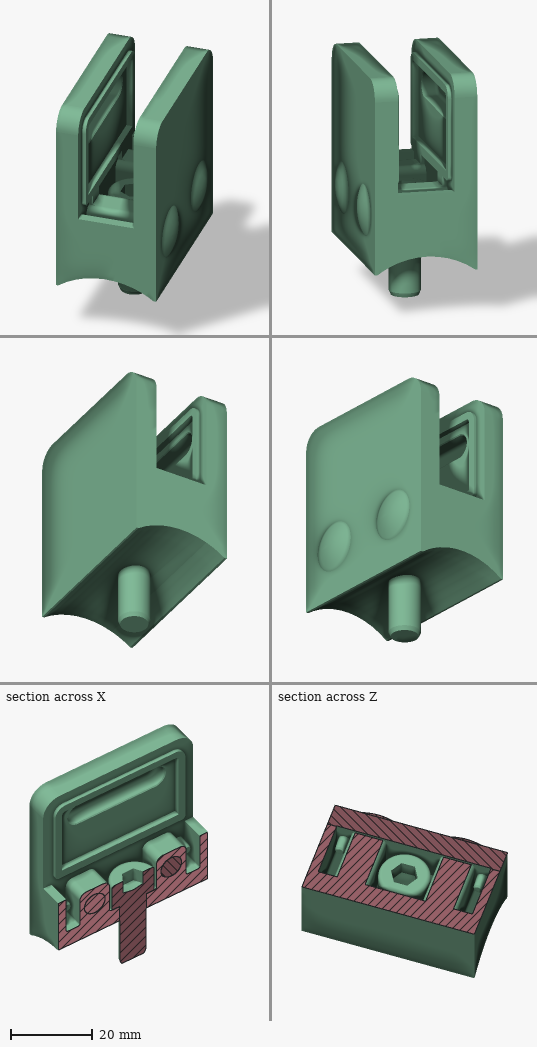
import cadquery as cq
import math

width = 26.0
length = 45.0
top_z = 60.0
bottom_z = 11.0
jaw_thickness = 5.75
clamp_jaw_thickness = 5.9
jaw_corner_radius = 5.0
mid_y = length / 2
clamp_x = width - clamp_jaw_thickness
mid_x = (jaw_thickness + clamp_x) / 2

rail_radius = 21.2
saddle_apex_z = 15.0

slot_z = 31.0
end_wall = 2.5
floor_z = 20.0
foot_radius = 0.5

screw_spacing = 23.0
screw_z = 25.0
boss_width = 9.0
boss_top_z = 30.4
boss_top_radius = 2.0
boss_clearance = 0.4
screw_ys = [mid_y - screw_spacing / 2, mid_y + screw_spacing / 2]

lug_depth = 1.0
lug_root = 1.0
lug_width = boss_width - 2 * boss_top_radius

pad_height = 1.0
pad_recess = 0.6
pad_margin = 3.0
pad_bottom_z = 33.0
pad_top_radius = 3.0
pad_bottom_radius = 1.0
frame_width = 2.0
frame_bottom_width = 2.3
pad_top_z = top_z - pad_margin

pocket_diameter = 6.0
pocket_length = screw_spacing + pocket_diameter
pocket_mouth_chamfer = 0.25
pocket_depth = 4.0
pocket_floor_radius = 0.8
pocket_z = 50.0

locator_spacing = 36.0
locator_length = 3.85
locator_root_diameter = 3.0
locator_shoulder_diameter = 2.6
locator_tip_diameter = 2.0
locator_tip_length = 0.5

bolt_diameter = 8.0
bolt_head_diameter = 13.0
bolt_head_height = 8.0
bolt_head_radius = 1.0
bolt_chamfer_height = 1.1
bolt_chamfer_width = 0.5
socket_across_flats = 6.0
socket_depth = 4.0
socket_cone_height = 0.75

screw_diameter = 6.0
screw_clearance_diameter = 6.5
screw_tip_x = 10.0
dome_diameter = 13.0
dome_height = 1.5


def block(x0, x1, y0, y1, z0, z1):
    """Axis-aligned box between two opposite corners."""
    return cq.Workplane("XY").box(x1 - x0, y1 - y0, z1 - z0, centered=False).translate((x0, y0, z0))


def rod_x(diameter, x0, x1, y, z):
    """Cylinder along X."""
    return cq.Workplane("YZ", origin=(x0, y, z)).circle(diameter / 2).extrude(x1 - x0)


def mirrored(shape):
    """Copy of a shape on the opposite jaw."""
    return shape.mirror("YZ", basePointVector=(mid_x, 0, 0))


def jaw(x0, x1):
    """Flat jaw with rounded upper corners."""
    plate = block(x0, x1, 0, length, bottom_z, top_z)
    return plate.edges("|X and >Z").fillet(jaw_corner_radius)


def rail():
    """Round rail that shapes the underside."""
    axis_z = saddle_apex_z - rail_radius
    return cq.Workplane("XZ", origin=(mid_x, 0, axis_z)).circle(rail_radius).extrude(-length)


def pad_outline():
    """Filled outline of the pad on the clamp jaw, from its raised face down to the recess floor."""
    x0 = clamp_x - pad_height
    x1 = clamp_x + pad_recess
    outline = block(x0, x1, pad_margin, length - pad_margin, pad_bottom_z, pad_top_z)
    outline = outline.edges("|X and >Z").fillet(pad_top_radius)
    return outline.edges("|X and <Z").fillet(pad_bottom_radius)


def slot_pocket():
    """Blind slot in the clamp jaw's recess, chamfered at the mouth and rounded at the floor."""
    start = cq.Workplane("YZ", origin=(clamp_x + pad_recess, mid_y, pocket_z))
    pocket = start.slot2D(pocket_length, pocket_diameter).extrude(pocket_depth)
    pocket = pocket.faces(">X").edges().fillet(pocket_floor_radius)
    widening = 2 * pocket_mouth_chamfer
    mouth = start.slot2D(pocket_length + widening, pocket_diameter + widening)
    mouth = mouth.extrude(pocket_mouth_chamfer, taper=45)
    return pocket.union(mouth)


def well():
    """Cavity between the end walls, with a rounded foot along each wall."""
    cavity = block(jaw_thickness, clamp_x, end_wall, length - end_wall, floor_z, slot_z)
    return cavity.edges("|X and <Z").fillet(foot_radius)


def boss(y):
    """Screw boss with rounded upper edges and a concave foot along both sides."""
    half = boss_width / 2
    x1 = clamp_x - boss_clearance
    base_z = floor_z - foot_radius
    bar = block(jaw_thickness, x1, y - half, y + half, base_z, boss_top_z)
    bar = bar.edges("|X and >Z").fillet(boss_top_radius)
    for side in (-1, 1):
        inner = y + side * half
        outer = inner + side * foot_radius
        low, high = sorted((inner, outer))
        foot = block(jaw_thickness, x1, low, high, base_z, floor_z + foot_radius)
        foot = foot.cut(rod_x(2 * foot_radius, jaw_thickness, x1, outer, floor_z + foot_radius))
        bar = bar.union(foot)
    return bar


def lug(y):
    """Low lug between a boss top and the lower edge of the pad, sloping onto the boss."""
    face_x = jaw_thickness + lug_depth
    base_z = boss_top_z - boss_top_radius
    profile = [
        (jaw_thickness, base_z),
        (face_x + lug_root, base_z),
        (face_x + lug_root, boss_top_z),
        (face_x, boss_top_z + lug_root / 5),
        (face_x, pad_bottom_z),
        (jaw_thickness, pad_bottom_z),
    ]
    start = cq.Workplane("XZ", origin=(0, y + lug_width / 2, 0))
    return start.polyline(profile).close().extrude(lug_width)


def make_body():
    """Fixed jaw and base, with the well, bosses, saddle and bolt hole."""
    body = jaw(0, jaw_thickness).union(block(jaw_thickness, clamp_x, 0, length, bottom_z, slot_z))
    body = body.cut(well())
    for y in screw_ys:
        body = body.union(boss(y)).union(lug(y))
        body = body.cut(rod_x(screw_diameter, screw_tip_x, clamp_x, y, screw_z))
    body = body.cut(cq.Workplane("XY").center(mid_x, mid_y).circle(bolt_diameter / 2).extrude(floor_z))
    return body.cut(rail()).cut(mirrored(pad_outline())).cut(mirrored(slot_pocket()))


def locator(y):
    """Tapered locating pin pointing from the clamp jaw into the well."""
    shoulder = locator_length - locator_tip_length
    profile = [
        (0, 0),
        (locator_root_diameter / 2, 0),
        (locator_shoulder_diameter / 2, -shoulder),
        (locator_tip_diameter / 2, -locator_length),
        (0, -locator_length),
    ]
    pin = cq.Workplane("XY").polyline(profile).close().revolve(360, (0, 0, 0), (0, 1, 0))
    return pin.rotate((0, 0, 0), (0, 0, 1), -90).translate((clamp_x, y, screw_z))


def make_clamp_jaw():
    """Removable jaw with screw holes and locating pins."""
    clamp = jaw(clamp_x, width).cut(rail()).cut(pad_outline()).cut(slot_pocket())
    for y in screw_ys:
        clamp = clamp.cut(rod_x(screw_clearance_diameter, clamp_x, width, y, screw_z))
    for side in (-1, 1):
        clamp = clamp.union(locator(mid_y + side * locator_spacing / 2))
    return clamp


def make_pad():
    """Frame seated in the clamp jaw's recess and standing proud of its inner face."""
    x0 = clamp_x - pad_height
    x1 = clamp_x + pad_recess
    inset = pad_margin + frame_width
    window = block(x0, x1, inset, length - inset, pad_bottom_z + frame_bottom_width, pad_top_z - frame_width)
    window = window.edges("|X and >Z").fillet(pad_top_radius - frame_width)
    return pad_outline().cut(window)


def make_bolt():
    """Socket-head bolt standing through the well floor."""
    head_top = floor_z + bolt_head_height
    bolt = cq.Workplane("XY").circle(bolt_diameter / 2).extrude(floor_z)
    bolt = bolt.faces("<Z").chamfer(bolt_chamfer_height, bolt_chamfer_width)
    head = cq.Workplane("XY").workplane(offset=floor_z).circle(bolt_head_diameter / 2).extrude(bolt_head_height)
    head = head.faces(">Z").edges().fillet(bolt_head_radius)
    across_corners = socket_across_flats / math.cos(math.pi / 6)
    socket = cq.Workplane("XY").polygon(6, across_corners).extrude(socket_depth)
    socket = socket.rotate((0, 0, 0), (0, 0, 1), 30)
    cone = cq.Solid.makeCone(0, socket_across_flats / 2, socket_cone_height)
    socket = socket.union(cq.Workplane(cone.translate(cq.Vector(0, 0, -socket_cone_height))))
    head = head.cut(socket.translate((0, 0, head_top - socket_depth)))
    return bolt.union(head).translate((mid_x, mid_y, 0))


def dome_arc_middle():
    """Point halfway along the dome's arc, as (radius, height)."""
    sphere_radius = ((dome_diameter / 2) ** 2 + dome_height ** 2) / (2 * dome_height)
    half_angle = math.asin(dome_diameter / 2 / sphere_radius) / 2
    return (
        sphere_radius * math.sin(half_angle),
        dome_height - sphere_radius * (1 - math.cos(half_angle)),
    )


def make_screw(y):
    """Clamp screw with a shallow domed head outside the clamp jaw."""
    profile = (
        cq.Workplane("XY")
        .moveTo(0, 0)
        .lineTo(dome_diameter / 2, 0)
        .threePointArc(dome_arc_middle(), (0, dome_height))
        .close()
    )
    dome = profile.revolve(360, (0, 0, 0), (0, 1, 0))
    dome = dome.rotate((0, 0, 0), (0, 0, 1), -90).translate((width, y, screw_z))
    return dome.union(rod_x(screw_diameter, screw_tip_x, width, y, screw_z))


body = make_body()
clamp_jaw = make_clamp_jaw()
pad = make_pad()
pads = [pad, mirrored(pad)]
bolt = make_bolt()
screws = [make_screw(y) for y in screw_ys]

result = cq.Compound.makeCompound(
    [body.val(), clamp_jaw.val(), bolt.val()]
    + [p.val() for p in pads]
    + [s.val() for s in screws]
)